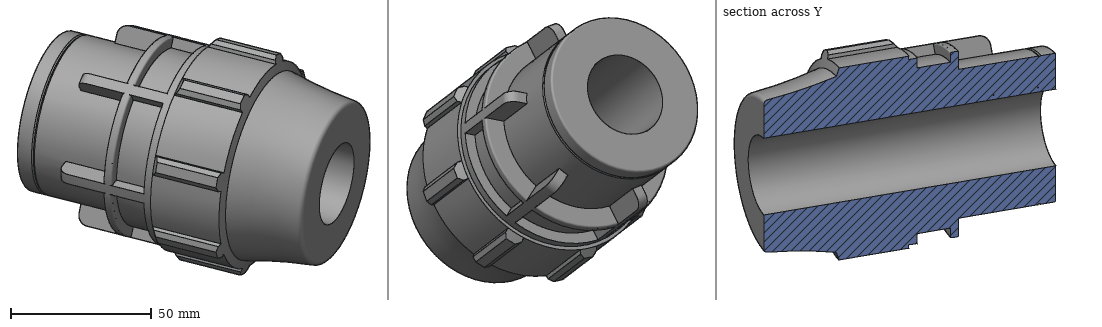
import cadquery as cq
import math

length = 112.0
bore_radius = 15.1

tube_radius = 29.6
rim_fillet = 0.8
groove_start = 5.8
groove_width = 1.1
groove_depth = 0.3

flange_start = 37.2
flange_end = 40.5
flange_radius = 36.8
flange_fillet = 0.7
neck_radius = 32.9
collar_start = 53.1

rib_count = 6
rib_start = 19.3
rib_width = 4.0
rib_corner_radius = 4.0
rib_root_radius = 22.4

nut_start = 56.3
nut_end = 83.1
nut_radius = 38.2
shoulder_end = 84.2

bar_count = 8
bar_base_half_width = 3.5
bar_top_half_width = 1.9
bar_bevel_radius = 39.4
bar_top_radius = 41.0
bar_root_radius = 33.6
bar_ramp_length = 2.1

taper_start_radius = 35.0
taper_end_radius = 30.4
taper_hollow = 0.5
end_fillet = 1.7
taper_end = length - end_fillet

trim_clearance = 1.1

diagonal = math.sqrt(0.5)


def revolve_about_x(profile):
    """Turn a closed (X, radius) profile about the X axis."""
    return profile.close().revolve(360, (0, 0, 0), (1, 0, 0))


def spread_about_x(shape, count, first_angle):
    """Fuse evenly spaced copies of a shape around the X axis."""
    copies = shape.rotate((0, 0, 0), (1, 0, 0), first_angle)
    for index in range(1, count):
        angle = first_angle + index * 360 / count
        copies = copies.union(shape.rotate((0, 0, 0), (1, 0, 0), angle))
    return copies


def make_tube():
    tube = cq.Workplane("YZ").circle(tube_radius).extrude(flange_end)
    tube = tube.faces("<X").edges().fillet(rim_fillet)
    groove = revolve_about_x(
        cq.Workplane("XY")
        .moveTo(groove_start, tube_radius)
        .lineTo(groove_start + groove_width / 2, tube_radius - groove_depth)
        .lineTo(groove_start + groove_width, tube_radius)
    )
    return tube.cut(groove)


def make_flange_and_collar():
    flange = (
        cq.Workplane("YZ", origin=(flange_start, 0, 0))
        .circle(flange_radius)
        .extrude(flange_end - flange_start)
        .edges()
        .fillet(flange_fillet)
    )
    neck = (
        cq.Workplane("YZ", origin=(flange_start, 0, 0))
        .circle(neck_radius)
        .extrude(nut_start - flange_start)
    )
    collar = (
        cq.Workplane("YZ", origin=(collar_start, 0, 0))
        .circle(flange_radius)
        .extrude(nut_start - collar_start)
    )
    return flange.union(neck).union(collar)


def make_ribs():
    """Ribs with a rounded front corner and a cylindrical top."""
    corner_x = rib_start + rib_corner_radius
    corner_y = flange_radius - rib_corner_radius
    corner_reach = rib_corner_radius * diagonal
    envelope = revolve_about_x(
        cq.Workplane("XY")
        .moveTo(rib_start, rib_root_radius)
        .lineTo(rib_start, corner_y)
        .threePointArc((corner_x - corner_reach, corner_y + corner_reach), (corner_x, flange_radius))
        .lineTo(nut_start, flange_radius)
        .lineTo(nut_start, rib_root_radius)
    )
    blade = cq.Workplane("XY").box(
        nut_start - rib_start,
        flange_radius + trim_clearance,
        rib_width,
        centered=(False, False, True),
    )
    blade = blade.translate((rib_start, 0, 0))
    return spread_about_x(blade, rib_count, 0).intersect(envelope)


def make_nut():
    """Disc with bevelled grip bars, trimmed by a front ramp and by the shoulder cone."""
    bar = (
        cq.Workplane("YZ", origin=(nut_start, 0, 0))
        .moveTo(bar_root_radius, -bar_base_half_width)
        .lineTo(bar_bevel_radius, -bar_base_half_width)
        .lineTo(bar_top_radius, -bar_top_half_width)
        .lineTo(bar_top_radius, bar_top_half_width)
        .lineTo(bar_bevel_radius, bar_base_half_width)
        .lineTo(bar_root_radius, bar_base_half_width)
        .close()
        .extrude(shoulder_end - nut_start)
    )
    disc = (
        cq.Workplane("YZ", origin=(nut_start, 0, 0))
        .circle(nut_radius)
        .extrude(shoulder_end - nut_start)
    )
    blank = disc.union(spread_about_x(bar, bar_count, 180 / bar_count))
    peak_radius = bar_top_radius + trim_clearance
    ramp_slope = bar_ramp_length / (bar_top_radius - nut_radius)
    ramp_peak_x = nut_start + (peak_radius - nut_radius) * ramp_slope
    shoulder_slope = (shoulder_end - nut_end) / (nut_radius - taper_start_radius)
    shoulder_peak_x = nut_end - (peak_radius - nut_radius) * shoulder_slope
    envelope = revolve_about_x(
        cq.Workplane("XY")
        .moveTo(nut_start, 0)
        .lineTo(nut_start, nut_radius)
        .lineTo(ramp_peak_x, peak_radius)
        .lineTo(shoulder_peak_x, peak_radius)
        .lineTo(shoulder_end, taper_start_radius)
        .lineTo(shoulder_end, 0)
    )
    return blank.intersect(envelope)


def make_taper():
    """Hollow-sided tapered end with a rounded outer edge."""
    chord_x = taper_end - shoulder_end
    chord_y = taper_end_radius - taper_start_radius
    chord = math.hypot(chord_x, chord_y)
    taper_middle = (
        (shoulder_end + taper_end) / 2 + taper_hollow * chord_y / chord,
        (taper_start_radius + taper_end_radius) / 2 - taper_hollow * chord_x / chord,
    )
    end_arc_middle = (
        taper_end + end_fillet * diagonal,
        taper_end_radius - end_fillet * (1 - diagonal),
    )
    return revolve_about_x(
        cq.Workplane("XY")
        .moveTo(shoulder_end, 0)
        .lineTo(shoulder_end, taper_start_radius)
        .threePointArc(taper_middle, (taper_end, taper_end_radius))
        .threePointArc(end_arc_middle, (length, taper_end_radius - end_fillet))
        .lineTo(length, 0)
    )


body = make_tube().union(make_flange_and_collar()).union(make_ribs())
body = body.union(make_nut()).union(make_taper())
bore = cq.Workplane("YZ").circle(bore_radius).extrude(length)
result = body.cut(bore)